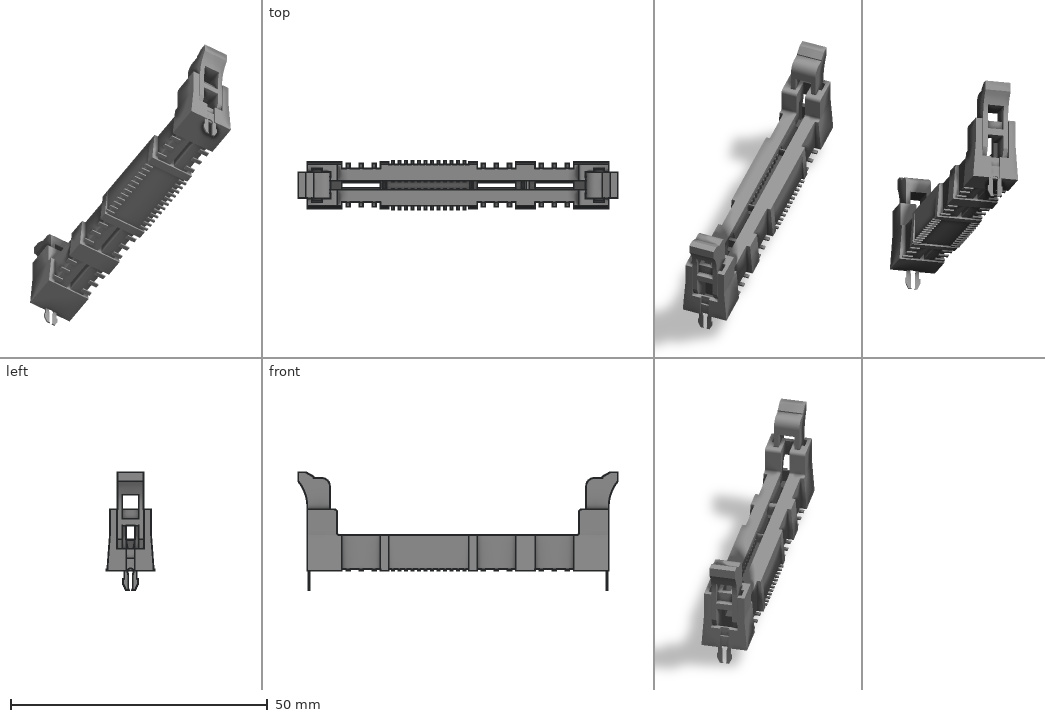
import cadquery as cq
import math


END_X = 29.35
BODY_TOP = 7.0
BODY_BOTTOM = 0.35
BODY_HALF_WIDTH = 4.03
BAY_HALF_WIDTH = 3.28
RIB_FOOT_HALF_WIDTH = 4.55

BAY_LENGTH = 7.45
BAY_CENTERS = (-18.85, 7.48, 18.75)
BAY_HALF_LENGTH = BAY_LENGTH / 2
CENTRAL_START = BAY_CENTERS[0] + BAY_HALF_LENGTH
CENTRAL_END = BAY_CENTERS[1] - BAY_HALF_LENGTH
CENTRAL_RIB_LENGTH = 1.67
DIVIDER_START = BAY_CENTERS[1] + BAY_HALF_LENGTH
DIVIDER_END = BAY_CENTERS[2] - BAY_HALF_LENGTH
END_BLOCK_INNER_X = BAY_CENTERS[2] + BAY_HALF_LENGTH

SLOT_HALF_WIDTH = 0.85
SLOT_FLOOR = 4.35
BAY_TAPER_TOP = 5.95
BAY_TAPER_BOTTOM = 4.0
BAY_OPENING_HALF_WIDTH = 0.46

END_KEY_TOP = 5.95
MIDDLE_KEY_TOP = 6.15
END_KEY_LENGTH = 0.7
END_KEY_RAMP = 0.45
END_KEY_STARTS = (-14.6, 2.25)
MIDDLE_KEY_START = 12.35
MIDDLE_KEY_LENGTH = 1.5
MIDDLE_KEY_RAMP = 0.55
MIDDLE_KEY_BEVEL_RUN = 0.4
MIDDLE_KEY_BEVEL_RISE = 0.2

TOWER_TOP = 12.0
TOWER_INNER_X = 23.5
TOWER_TOP_RADIUS = 0.6
TOWER_FOOT_RADIUS = 0.35
POCKET_HALF_WIDTH = 2.65
POCKET_INNER_X = 24.75
POCKET_FLOOR = SLOT_FLOOR
WELL_OUTER_X = 28.4
WELL_FLOOR = 1.2

TAIL_THICKNESS = 0.3
SIGNAL_COUNT = 12
SIGNAL_PITCH = 1.27
SIGNAL_WIDTH = 0.5
SIGNAL_TAIL_Y = 9.51 / 2
SIGNAL_INSET = 0.15
SIGNAL_CONTACT_TOP = 5.6
POWER_COUNT = 3
POWER_PITCH = 2.54
POWER_WIDTH = 0.8
POWER_TAIL_Y = 4.25
TAIL_ROOT_DEPTH = 1.0
TAIL_ROOT_HEIGHT = 0.8

LATCH_TIP_X = 62.17 / 2
LATCH_TOP = 19.2
LATCH_INNER_X = 24.9
LATCH_HALF_WIDTH = 2.53
LATCH_SHOULDER_Z = 18.1
LATCH_INNER_RADIUS = 1.65
GRIP_FLAT_X = 29.6
GRIP_STEP_X = 28.1
GRIP_STEP_Z = 18.35
GRIP_UNDERSIDE_Z = 17.4
GRIP_CURVE_END_Z = 12.6
LEG_TAPER_HEIGHT = 1.85
LEG_TAPER_RUN = 0.85
LEG_INNER_HALF_GAP = 1.6
WINDOW_TOP = 14.8
BAR_TOP = TOWER_TOP
BAR_LEDGE_Z = 10.1
BAR_BOTTOM = 8.8
BAR_LEDGE_DEPTH = 1.1
BAR_SLOT_OUTER_X = 27.4

PIVOT_DIAMETER = 1.93
PIVOT_X = 27.45
PIVOT_Z = 5.6
PIVOT_HALF_SPAN = 3.0
GROOVE_WIDTH = 2.06
GROOVE_MOUTH_HALF_SPAN = 3.28
GROOVE_FOOT_HALF_SPAN = 2.85

LOCK_TIP_Z = LATCH_TOP - 22.93
LOCK_THICKNESS = 0.27
LOCK_TOP = 2.5
LOCK_OUTER_X = 29.12
LOCK_CHANNEL_X = 28.75
LOCK_SHOULDER_HALF_WIDTH = 1.25
LOCK_BULGE_HALF_WIDTH = 1.47
LOCK_BULGE_TOP = -1.55
LOCK_BULGE_BOTTOM = -2.55
LOCK_TIP_OUTER = 0.9
LOCK_SLIT_TOP = 0.5
LOCK_SLIT_NECK_Z = -0.7
LOCK_SLIT_TOP_HALF = 0.6
LOCK_SLIT_HALF = 0.43
LOCK_SLIT_MOUTH_HALF = 0.25
LOCK_SLIT_MOUTH_HEIGHT = 0.25

EPS = 0.5


def box(x0, x1, y0, y1, z0, z1):
    """Axis-aligned block between the given limits."""
    return cq.Workplane("XY").box(x1 - x0, y1 - y0, z1 - z0, centered=False).translate((x0, y0, z0))


def wide_box(x0, x1, half_width, z0, z1):
    """Block centred on Y = 0."""
    return box(x0, x1, -half_width, half_width, z0, z1)


def extrude_along_x(points, x0, x1):
    """Prism of a (Y, Z) polygon between two X positions."""
    return cq.Workplane("YZ").polyline(points).close().extrude(x1 - x0).translate((x0, 0, 0))


def prism_along_y(profile, half_width):
    """Symmetric extrusion of a closed XZ profile."""
    return profile.extrude(half_width, both=True)


def flared_block(x0, x1):
    """Full height block whose long sides lean outwards towards the board."""
    points = [
        (-RIB_FOOT_HALF_WIDTH, 0),
        (RIB_FOOT_HALF_WIDTH, 0),
        (BODY_HALF_WIDTH, BODY_TOP),
        (-BODY_HALF_WIDTH, BODY_TOP),
    ]
    return extrude_along_x(points, x0, x1)


def both_ends(shape):
    """The shape and its mirror image at the other end of the connector."""
    return shape.union(shape.mirror("YZ"))



def make_tower():
    """Raised block at the +X end, rounded on top and filleted into the body."""
    profile = (
        cq.Workplane("XZ")
        .moveTo(END_X, BODY_TOP - EPS)
        .lineTo(END_X, TOWER_TOP)
        .lineTo(TOWER_INNER_X + TOWER_TOP_RADIUS, TOWER_TOP)
        .radiusArc((TOWER_INNER_X, TOWER_TOP - TOWER_TOP_RADIUS), -TOWER_TOP_RADIUS)
        .lineTo(TOWER_INNER_X, BODY_TOP + TOWER_FOOT_RADIUS)
        .radiusArc((TOWER_INNER_X - TOWER_FOOT_RADIUS, BODY_TOP), TOWER_FOOT_RADIUS)
        .lineTo(TOWER_INNER_X - TOWER_FOOT_RADIUS, BODY_TOP - EPS)
        .close()
    )
    return prism_along_y(profile, BODY_HALF_WIDTH)


def make_groove_cutter():
    """Pivot grooves in both pocket sides, narrowing from the tower top to the pocket floor."""
    points = [
        (GROOVE_FOOT_HALF_SPAN, POCKET_FLOOR),
        (GROOVE_MOUTH_HALF_SPAN, TOWER_TOP),
    ]
    mirrored = [(-y, z) for y, z in reversed(points)]
    return extrude_along_x(points + mirrored, PIVOT_X - GROOVE_WIDTH / 2, PIVOT_X + GROOVE_WIDTH / 2)


def make_end_cutter():
    """Latch pocket with its well, pivot grooves and board lock channel at the +X end."""
    pocket = wide_box(POCKET_INNER_X, END_X + EPS, POCKET_HALF_WIDTH, POCKET_FLOOR, TOWER_TOP + EPS)
    well = wide_box(
        POCKET_INNER_X, WELL_OUTER_X, LEG_INNER_HALF_GAP, WELL_FLOOR, POCKET_FLOOR + EPS
    )
    lock_back_x = LOCK_OUTER_X - LOCK_THICKNESS
    lower_channel = wide_box(lock_back_x, END_X + EPS, SLOT_HALF_WIDTH, -EPS, LOCK_TOP)
    upper_channel = wide_box(
        LOCK_CHANNEL_X, END_X + EPS, SLOT_HALF_WIDTH, LOCK_TOP, POCKET_FLOOR + EPS
    )
    cutter = pocket.union(well).union(make_groove_cutter())
    return cutter.union(lower_channel).union(upper_channel)


def make_bay_cutter(center):
    """Opening through a power bay, narrowing below the card slot."""
    points = [
        (SLOT_HALF_WIDTH, BODY_TOP + EPS),
        (SLOT_HALF_WIDTH, BAY_TAPER_TOP),
        (BAY_OPENING_HALF_WIDTH, BAY_TAPER_BOTTOM),
        (BAY_OPENING_HALF_WIDTH, -EPS),
        (-BAY_OPENING_HALF_WIDTH, -EPS),
        (-BAY_OPENING_HALF_WIDTH, BAY_TAPER_BOTTOM),
        (-SLOT_HALF_WIDTH, BAY_TAPER_TOP),
        (-SLOT_HALF_WIDTH, BODY_TOP + EPS),
    ]
    return extrude_along_x(points, center - BAY_HALF_LENGTH, center + BAY_HALF_LENGTH)


def make_slot_cutters():
    """Card slot over solid floor; each bay has its own tapered opening instead."""
    stretches = (
        (-END_X, BAY_CENTERS[0] - BAY_HALF_LENGTH),
        (CENTRAL_START, CENTRAL_END),
        (DIVIDER_START, DIVIDER_END),
        (END_BLOCK_INNER_X, END_X),
    )
    cutters = [make_bay_cutter(center) for center in BAY_CENTERS]
    for x0, x1 in stretches:
        cutters.append(wide_box(x0, x1, SLOT_HALF_WIDTH, SLOT_FLOOR, TOWER_TOP + EPS))
    return cutters


def make_housing():
    """Slotted body with flared ribs, end blocks and towers."""
    housing = wide_box(-END_X, END_X, BAY_HALF_WIDTH, BODY_BOTTOM, BODY_TOP)
    housing = housing.union(
        wide_box(CENTRAL_START, CENTRAL_END, BODY_HALF_WIDTH, BODY_BOTTOM, BODY_TOP)
    )
    flared_spans = (
        (-END_X, BAY_CENTERS[0] - BAY_HALF_LENGTH),
        (CENTRAL_START, CENTRAL_START + CENTRAL_RIB_LENGTH),
        (CENTRAL_END - CENTRAL_RIB_LENGTH, CENTRAL_END),
        (DIVIDER_START, DIVIDER_END),
        (END_BLOCK_INNER_X, END_X),
    )
    for x0, x1 in flared_spans:
        housing = housing.union(flared_block(x0, x1))
    housing = housing.union(both_ends(make_tower()))
    for cutter in make_slot_cutters():
        housing = housing.cut(cutter)
    return housing.cut(both_ends(make_end_cutter()))


def make_keys():
    """Coding keys across the card slot."""
    keys = []
    for start in END_KEY_STARTS:
        profile = (
            cq.Workplane("XZ")
            .moveTo(start, SLOT_FLOOR)
            .lineTo(start + END_KEY_RAMP, END_KEY_TOP)
            .lineTo(start + END_KEY_LENGTH, END_KEY_TOP)
            .lineTo(start + END_KEY_LENGTH, SLOT_FLOOR)
            .close()
        )
        keys.append(prism_along_y(profile, SLOT_HALF_WIDTH))
    ramp_end = MIDDLE_KEY_START + MIDDLE_KEY_RAMP
    middle_end = MIDDLE_KEY_START + MIDDLE_KEY_LENGTH
    profile = (
        cq.Workplane("XZ")
        .moveTo(MIDDLE_KEY_START, SLOT_FLOOR)
        .lineTo(ramp_end, MIDDLE_KEY_TOP - MIDDLE_KEY_BEVEL_RISE)
        .lineTo(ramp_end + MIDDLE_KEY_BEVEL_RUN, MIDDLE_KEY_TOP)
        .lineTo(middle_end, MIDDLE_KEY_TOP)
        .lineTo(middle_end, SLOT_FLOOR)
        .close()
    )
    keys.append(prism_along_y(profile, SLOT_HALF_WIDTH))
    return keys



def row_positions(center, count, pitch):
    """Evenly pitched X positions centred on a point."""
    first = center - pitch * (count - 1) / 2
    return [first + pitch * i for i in range(count)]


def make_tail(x, width, wall_y, tip_y):
    """Solder tail on the +Y side with a root that reaches up into the wall."""
    x0 = x - width / 2
    x1 = x + width / 2
    root_y = wall_y - TAIL_ROOT_DEPTH
    foot = box(x0, x1, root_y, tip_y, 0, TAIL_THICKNESS)
    root = box(x0, x1, root_y, root_y + TAIL_THICKNESS, 0, TAIL_ROOT_HEIGHT)
    return foot.union(root)


def make_contacts():
    """Signal and power contacts on the +Y side."""
    contacts = []
    central_middle = (CENTRAL_START + CENTRAL_END) / 2
    for x in row_positions(central_middle, SIGNAL_COUNT, SIGNAL_PITCH):
        half = SIGNAL_WIDTH / 2
        inner_y = SLOT_HALF_WIDTH - SIGNAL_INSET
        outer_y = SLOT_HALF_WIDTH + SIGNAL_INSET
        contacts.append(make_tail(x, SIGNAL_WIDTH, BODY_HALF_WIDTH, SIGNAL_TAIL_Y))
        contacts.append(box(x - half, x + half, inner_y, outer_y, SLOT_FLOOR, SIGNAL_CONTACT_TOP))
    for center in BAY_CENTERS:
        for x in row_positions(center, POWER_COUNT, POWER_PITCH):
            contacts.append(make_tail(x, POWER_WIDTH, BAY_HALF_WIDTH, POWER_TAIL_Y))
    return contacts



def grip_hollow_midpoint():
    """Point halfway along the hollow arc that meets the outer face tangentially."""
    run = LATCH_TIP_X - END_X
    rise = GRIP_UNDERSIDE_Z - GRIP_CURVE_END_Z
    radius = (run**2 + rise**2) / (2 * run)
    half_angle = math.asin(rise / radius) / 2
    x = END_X + radius * (1 - math.cos(half_angle))
    z = GRIP_CURVE_END_Z + radius * math.sin(half_angle)
    return x, z


def make_latch_blank():
    """Side outline of the latch at full width."""
    profile = (
        cq.Workplane("XZ")
        .moveTo(LATCH_INNER_X, POCKET_FLOOR)
        .lineTo(LATCH_INNER_X, LATCH_SHOULDER_Z - LATCH_INNER_RADIUS)
        .radiusArc((LATCH_INNER_X + LATCH_INNER_RADIUS, LATCH_SHOULDER_Z), LATCH_INNER_RADIUS)
        .lineTo(GRIP_STEP_X, LATCH_SHOULDER_Z)
        .lineTo(GRIP_STEP_X, GRIP_STEP_Z)
        .lineTo(GRIP_FLAT_X, LATCH_TOP)
        .lineTo(LATCH_TIP_X, LATCH_TOP)
        .lineTo(LATCH_TIP_X, GRIP_UNDERSIDE_Z)
        .threePointArc(grip_hollow_midpoint(), (END_X, GRIP_CURVE_END_Z))
        .lineTo(END_X, POCKET_FLOOR + LEG_TAPER_HEIGHT)
        .lineTo(END_X - LEG_TAPER_RUN, POCKET_FLOOR)
        .close()
    )
    return prism_along_y(profile, LATCH_HALF_WIDTH)


def make_pivot():
    """Pivot pins standing out of both legs."""
    circle = cq.Workplane("XZ").center(PIVOT_X, PIVOT_Z).circle(PIVOT_DIAMETER / 2)
    return prism_along_y(circle, PIVOT_HALF_SPAN)


def make_latch():
    """Latch with two legs joined by a stepped bar whose heel rests on the pocket wall."""
    x0 = LATCH_INNER_X - EPS
    x1 = LATCH_TIP_X + EPS
    latch = make_latch_blank().union(make_pivot())
    bar_heel = wide_box(POCKET_INNER_X, LATCH_INNER_X, LEG_INNER_HALF_GAP, BAR_BOTTOM, BAR_TOP)
    latch = latch.union(bar_heel)
    latch = latch.cut(wide_box(x0, x1, LEG_INNER_HALF_GAP, BAR_TOP, WINDOW_TOP))
    latch = latch.cut(wide_box(x0, x1, LEG_INNER_HALF_GAP, POCKET_FLOOR - EPS, BAR_BOTTOM))
    ledge = wide_box(END_X - BAR_LEDGE_DEPTH, x1, LEG_INNER_HALF_GAP, BAR_LEDGE_Z, BAR_TOP)
    bar_slot = wide_box(x0, BAR_SLOT_OUTER_X, SLOT_HALF_WIDTH, BAR_BOTTOM - EPS, BAR_TOP + EPS)
    return latch.cut(ledge).cut(bar_slot)


def make_board_lock():
    """Flat two-pronged spring clip pressed into the end face."""
    prongs = [
        (SLOT_HALF_WIDTH, LOCK_TOP),
        (SLOT_HALF_WIDTH, 0),
        (LOCK_SHOULDER_HALF_WIDTH, 0),
        (LOCK_SHOULDER_HALF_WIDTH, LOCK_BULGE_TOP),
        (LOCK_BULGE_HALF_WIDTH, LOCK_BULGE_TOP),
        (LOCK_BULGE_HALF_WIDTH, LOCK_BULGE_BOTTOM),
        (LOCK_TIP_OUTER, LOCK_TIP_Z),
    ]
    mirrored = [(-y, z) for y, z in reversed(prongs)]
    x0 = LOCK_OUTER_X - LOCK_THICKNESS
    plate = extrude_along_x(prongs + mirrored, x0, LOCK_OUTER_X)
    slit = (
        cq.Workplane("YZ")
        .moveTo(-LOCK_SLIT_MOUTH_HALF, LOCK_TIP_Z)
        .lineTo(-LOCK_SLIT_HALF, LOCK_TIP_Z + LOCK_SLIT_MOUTH_HEIGHT)
        .lineTo(-LOCK_SLIT_HALF, LOCK_SLIT_NECK_Z)
        .lineTo(-LOCK_SLIT_TOP_HALF, 0)
        .threePointArc((0, LOCK_SLIT_TOP), (LOCK_SLIT_TOP_HALF, 0))
        .lineTo(LOCK_SLIT_HALF, LOCK_SLIT_NECK_Z)
        .lineTo(LOCK_SLIT_HALF, LOCK_TIP_Z + LOCK_SLIT_MOUTH_HEIGHT)
        .lineTo(LOCK_SLIT_MOUTH_HALF, LOCK_TIP_Z)
        .close()
        .extrude(LOCK_THICKNESS)
        .translate((x0, 0, 0))
    )
    return plate.cut(slit)



result = make_housing()
for key in make_keys():
    result = result.union(key)
for contact in make_contacts():
    result = result.union(contact).union(contact.mirror("XZ"))
for fitting in (make_latch(), make_board_lock()):
    result = result.union(both_ends(fitting))